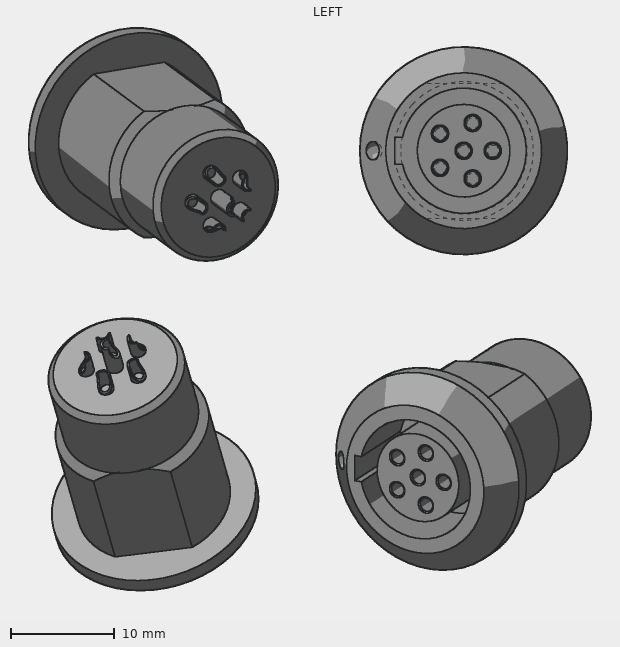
import cadquery as cq
import math

total_length = 27.5
flange_bevel = 2.5
flange_back = 4.02
body_end = 16.1
shell_end = 23.98
outer_pin_end = 25.95

flange_diameter = 20.0
flange_radius = flange_diameter / 2
face_radius = flange_radius - flange_bevel
body_radius = 7.5
shell_radius = 6.68
body_chamfer = body_radius - shell_radius
shell_chamfer = 0.6

flat_height = 6.5

socket_radius = 6.02
socket_depth = 7.98
insert_radius = 4.45
insert_recess = 0.55
keyway_reach = 6.6
keyway_width = 2.58

outer_contact_count = 5
contact_circle_radius = 2.8
contact_hole_radius = 0.7
contact_hole_depth = 4.95
contact_hole_chamfer = 0.15

center_pin_radius = 0.8
outer_pin_radius = 0.75
pin_embed = 0.28
cup_radius = 0.55
relief_radius = 1.65
relief_flat = 0.38
relief_length = relief_flat + relief_radius
outer_relief_offset = 0.16

dimple_radius = 0.88


def rod(radius, start, end, y=0.0, z=0.0):
    """Solid cylinder along X between two stations."""
    return cq.Workplane("YZ", origin=(start, y, z)).circle(radius).extrude(end - start)


def turned_shell():
    """Flange, body and rear shell as one revolved outline."""
    outline = [
        (0, 0),
        (0, face_radius),
        (flange_bevel, flange_radius),
        (flange_back, flange_radius),
        (flange_back, body_radius),
        (body_end - body_chamfer, body_radius),
        (body_end, shell_radius),
        (shell_end - shell_chamfer, shell_radius),
        (shell_end, shell_radius - shell_chamfer),
        (shell_end, 0),
    ]
    return cq.Workplane("XY").polyline(outline).close().revolve(360, (0, 0, 0), (1, 0, 0))


def body_flats():
    """Material removed above and below the flats, behind the flange only."""
    length = body_end - flange_back
    width = 2 * body_radius
    block = cq.Workplane("XY").box(length, width, width, centered=(False, True, True))
    core = cq.Workplane("XY").box(length, width, 2 * flat_height, centered=(False, True, True))
    return block.cut(core).translate((flange_back, 0, 0))


def socket():
    """Annular socket with a keyway on +Y, leaving the recessed insert standing."""
    keyway = cq.Workplane("XY").box(
        socket_depth, keyway_reach, keyway_width, centered=(False, False, True)
    )
    insert = rod(insert_radius, insert_recess, socket_depth)
    return rod(socket_radius, 0, socket_depth).union(keyway).cut(insert)


def dimple():
    """Spherical dimple centred halfway up the flange bevel on +Y."""
    middle = (flange_bevel / 2, (face_radius + flange_radius) / 2, 0)
    return cq.Workplane("XY").sphere(dimple_radius).translate(middle)


def contact_hole(y, z):
    """Blind contact hole with a small lead-in chamfer at the insert face."""
    hole = rod(contact_hole_radius, insert_recess, insert_recess + contact_hole_depth, y, z)
    lead_in = cq.Workplane("XY").add(
        cq.Solid.makeCone(
            contact_hole_radius + contact_hole_chamfer,
            contact_hole_radius,
            contact_hole_chamfer,
            pnt=cq.Vector(insert_recess, y, z),
            dir=cq.Vector(1, 0, 0),
        )
    )
    return hole.union(lead_in)


def solder_pin(radius, end, relief_offset=0.0):
    """Solder cup pin on the X axis, relieved on its +Y side with a curved run-out."""
    cup = rod(cup_radius, end - relief_length, end)
    arc_x = end - relief_flat
    arc_y = relief_radius - relief_offset
    relief = (
        cq.Workplane("XY")
        .moveTo(end, -relief_offset)
        .lineTo(arc_x, -relief_offset)
        .radiusArc((end - relief_length, arc_y), relief_radius)
        .lineTo(end, arc_y)
        .close()
        .extrude(radius, both=True)
    )
    return rod(radius, shell_end - pin_embed, end).cut(cup).cut(relief)


part = turned_shell().cut(body_flats()).cut(socket()).cut(dimple())

part = part.cut(contact_hole(0, 0)).union(solder_pin(center_pin_radius, total_length))

for index in range(outer_contact_count):
    angle = 180 + index * 360 / outer_contact_count
    y = contact_circle_radius * math.cos(math.radians(angle))
    z = contact_circle_radius * math.sin(math.radians(angle))
    pin = solder_pin(outer_pin_radius, outer_pin_end, outer_relief_offset)
    pin = pin.translate((0, contact_circle_radius, 0)).rotate((0, 0, 0), (1, 0, 0), angle)
    part = part.cut(contact_hole(y, z)).union(pin)

result = part